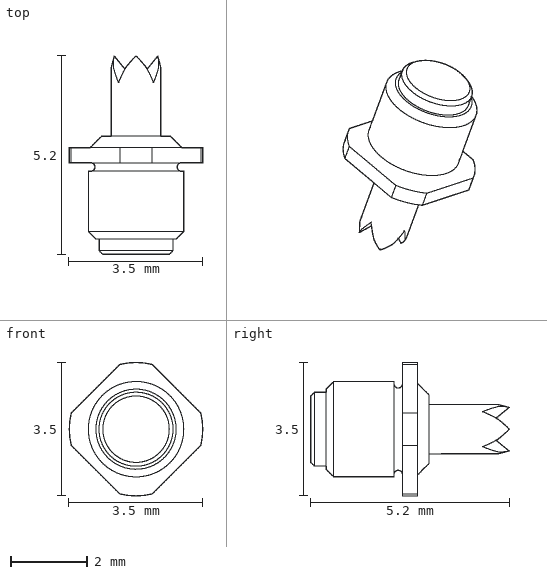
import cadquery as cq
import math


flange_diameter = 3.5
flange_across_flats = 3.0
flange_thickness = 0.4
flange_turn = 45

cone_base_radius = 1.2
cone_height = 0.3

groove_radius = 0.11
groove_neck_radius = 1.08

barrel_radius = 1.25
barrel_chamfer = 0.2
barrel_rear = -2.0
plug_radius = 0.97
plug_chamfer = 0.1
plug_rear = -2.4

plunger_radius = 0.65
tip_y = 2.8
taper_length = 0.3
taper_angle = 15.0

crown_valley_y = 2.1
crown_groove_angle = 60.0
crown_groove_directions = (45, 135)


def make_body():
    """Revolved parts: plug, barrel, groove, flange hub, cone and plunger."""
    groove_front_radius = groove_neck_radius + groove_radius
    barrel_front = -2 * groove_radius
    cone_front = flange_thickness + cone_height
    taper_start = tip_y - taper_length
    tip_radius = plunger_radius - taper_length * math.tan(math.radians(taper_angle))
    profile = (
        cq.Workplane("XY")
        .moveTo(0, plug_rear)
        .lineTo(plug_radius - plug_chamfer, plug_rear)
        .lineTo(plug_radius, plug_rear + plug_chamfer)
        .lineTo(plug_radius, barrel_rear)
        .lineTo(barrel_radius - barrel_chamfer, barrel_rear)
        .lineTo(barrel_radius, barrel_rear + barrel_chamfer)
        .lineTo(barrel_radius, barrel_front)
        .lineTo(groove_front_radius, barrel_front)
        .threePointArc((groove_neck_radius, -groove_radius), (groove_front_radius, 0))
        .lineTo(cone_base_radius, 0)
        .lineTo(cone_base_radius, flange_thickness)
        .lineTo(cone_base_radius - cone_height, cone_front)
        .lineTo(plunger_radius, cone_front)
        .lineTo(plunger_radius, taper_start)
        .lineTo(tip_radius, tip_y)
        .lineTo(0, tip_y)
        .close()
    )
    return profile.revolve(360, (0, 0, 0), (0, 1, 0))


def make_flange():
    """Disc trimmed by a square whose corners lie on the X and Z axes."""
    disc = cq.Workplane("XZ").circle(flange_diameter / 2).extrude(-flange_thickness)
    square = (
        cq.Workplane("XZ")
        .rect(flange_across_flats, flange_across_flats)
        .extrude(-flange_thickness)
        .rotate((0, 0, 0), (0, 1, 0), flange_turn)
    )
    return disc.intersect(square)


def make_crown_groove(direction_angle):
    """V-shaped cutter crossing the plunger, turned about Y by direction_angle."""
    cutter_height = 2 * (tip_y - crown_valley_y)
    cutter_half_width = cutter_height * math.tan(math.radians(crown_groove_angle / 2))
    cutter_top = crown_valley_y + cutter_height
    return (
        cq.Workplane("XY")
        .moveTo(0, crown_valley_y)
        .lineTo(cutter_half_width, cutter_top)
        .lineTo(-cutter_half_width, cutter_top)
        .close()
        .extrude(2 * plunger_radius, both=True)
        .rotate((0, 0, 0), (0, 1, 0), direction_angle)
    )


result = make_body().union(make_flange())
for direction in crown_groove_directions:
    result = result.cut(make_crown_groove(direction))